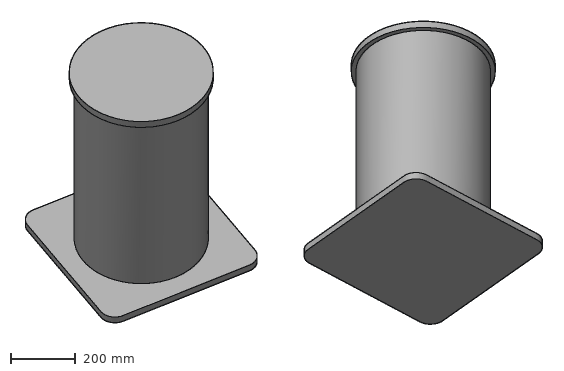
import cadquery as cq

total_height = 726.0
base_side = 550.0
base_corner_radius = 50.0
plate_thickness = 25.0
column_diameter = 415.0
cap_diameter = 445.0

cap_bottom = total_height - plate_thickness
column_height = cap_bottom - plate_thickness


def make_pedestal():
    """Square base plate with rounded corners, carrying a round column."""
    base = (
        cq.Workplane("XY")
        .rect(base_side, base_side)
        .extrude(plate_thickness)
        .edges("|Z")
        .fillet(base_corner_radius)
    )
    return base.faces(">Z").workplane().circle(column_diameter / 2).extrude(column_height)


def make_cap():
    """Round disc resting on top of the column."""
    return (
        cq.Workplane("XY")
        .workplane(offset=cap_bottom)
        .circle(cap_diameter / 2)
        .extrude(plate_thickness)
    )


pedestal = make_pedestal()
cap = make_cap()

result = cq.Compound.makeCompound([pedestal.val(), cap.val()])